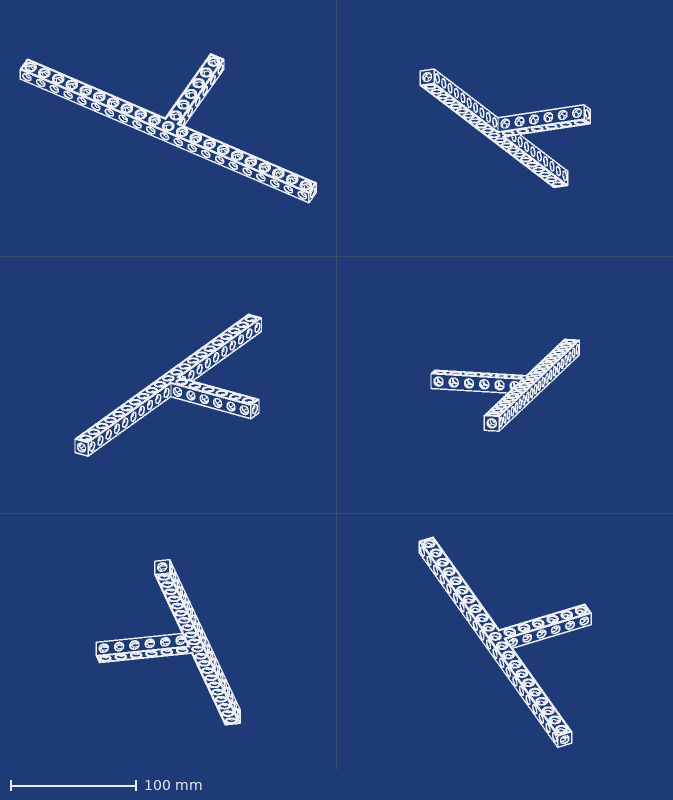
import cadquery as cq

bar_length = 262.5
bar_hole_count = 21
stem_hole_count = 6
bore_diameter = 7.0
edge_chamfer = 0.3
collar_diameter = 9.2
rim_width = 1.1
recess_depth = 0.3

pitch = bar_length / bar_hole_count
half = pitch / 2
bar_end = bar_length / 2
stem_end = half + stem_hole_count * pitch

bar_stations = [(i - bar_hole_count // 2) * pitch for i in range(bar_hole_count)]
stem_stations = [(i + 1) * pitch for i in range(stem_hole_count)]
hole_centres = [(x, 0) for x in bar_stations] + [(0, y) for y in stem_stations]


def bar_block(inset, height):
    """Block over the bar, drawn in from its sides by inset and centred on Z = 0."""
    return cq.Workplane("XY").box(bar_length - 2 * inset, pitch - 2 * inset, height)


def stem_block(inset, height):
    """Block over the stem, reaching from the bar's centre line to the stem's end."""
    length = stem_end - inset
    block = cq.Workplane("XY").box(pitch - 2 * inset, length, height)
    return block.translate((0, length / 2, 0))


def chamfered_hole(start, end):
    """Cutters for a round bore from start to end with both mouths chamfered."""
    start = cq.Vector(*start)
    end = cq.Vector(*end)
    axis = end - start
    radius = bore_diameter / 2
    mouth_radius = radius + edge_chamfer
    return [
        cq.Solid.makeCylinder(radius, axis.Length, start, axis),
        cq.Solid.makeCone(mouth_radius, radius, edge_chamfer, start, axis),
        cq.Solid.makeCone(mouth_radius, radius, edge_chamfer, end, -axis),
    ]


bar = bar_block(0, pitch).edges().chamfer(edge_chamfer)
stem = stem_block(0, pitch).edges().chamfer(edge_chamfer)
body = bar.union(stem)

recess = bar_block(rim_width, recess_depth).union(stem_block(rim_width, recess_depth))
collars = cq.Workplane("XY").pushPoints(hole_centres).circle(collar_diameter / 2)
recess = recess.cut(collars.extrude(recess_depth, both=True))
recess_height = half - recess_depth / 2
for z in (recess_height, -recess_height):
    body = body.cut(recess.translate((0, 0, z)))

cutters = []

for x, y in hole_centres:
    cutters += chamfered_hole((x, y, -half), (x, y, half))

for x in bar_stations:
    far_side = stem_end if x == 0 else half
    cutters += chamfered_hole((x, -half, 0), (x, far_side, 0))

for y in stem_stations:
    cutters += chamfered_hole((-half, y, 0), (half, y, 0))

cutters += chamfered_hole((-bar_end, 0, 0), (bar_end, 0, 0))

result = cq.Workplane("XY").newObject(body.val().cut(*cutters).Solids())